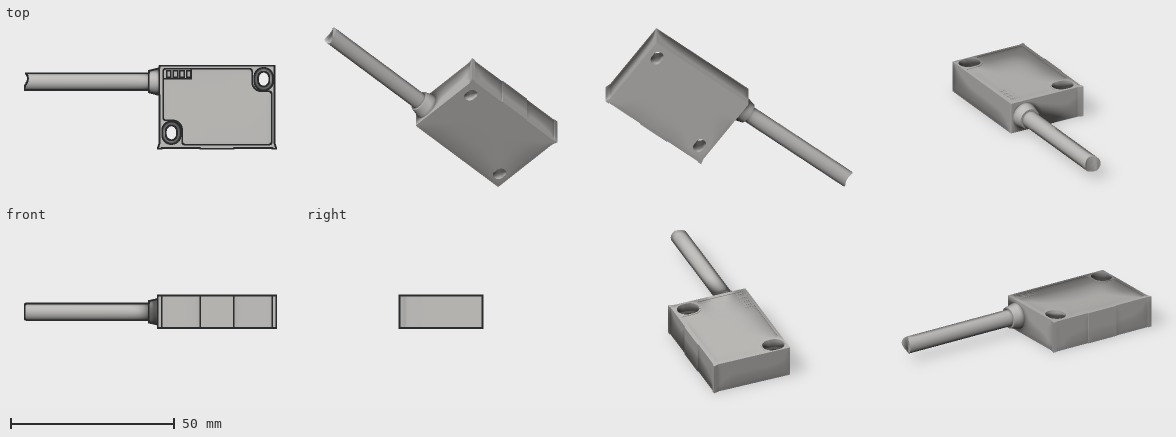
import cadquery as cq

total_length = 76.96
body_depth = 25.4
body_height = 10.0

body_width = 35.2
flare_width = 0.55
flare_depth = 1.8
back_corner_radius = 0.25

flange_width = body_width + 2 * flare_width
front_recess_depth = 0.25
corner_pad_width = 1.2
center_pad_width = 10.3

cable_diameter = 5.2
cable_from_back = 4.85
collar_length = 3.2
collar_base_diameter = 8.2
collar_tip_diameter = 6.6
cut_valley_depth = 1.0
cut_valley_y = 1.0
cut_slope_y = -0.7
cut_back_depth = 0.3
cut_clearance = 1.0
cable_y = body_depth - cable_from_back
cable_z = body_height / 2
cable_end_x = -(total_length - body_width - flare_width)
cable_radius = cable_diameter / 2

panel_depth = 0.2
panel_left = 1.15
panel_right = 34.3
panel_front = 1.3
panel_back = body_depth - 0.95
panel_corner_radius = 0.8
notch_corner_radius = 3.0
left_notch_x = 6.95
left_notch_y = 8.7
right_notch_x = 28.3
right_notch_y = body_depth - 7.85

strip_height = 0.1
strip_right = 9.75
strip_front = body_depth - 3.95
window_width = 1.25
window_length = 1.9
window_depth = strip_height
window_count = 4
window_pitch = 2.0
first_window_x = 2.9
window_y = body_depth - 2.5

slot_width = 3.3
counterbore_width = 5.7
slot_stretch = 1.2
counterbore_depth = 2.8
mounting_points = [(3.65, 4.9), (31.85, body_depth - 4.1)]


def make_body():
    """Block with flared front corners."""
    outline = (
        cq.Workplane("XY")
        .moveTo(-flare_width, 0)
        .lineTo(body_width + flare_width, 0)
        .lineTo(body_width, flare_depth)
        .lineTo(body_width, body_depth)
        .lineTo(0, body_depth)
        .lineTo(0, flare_depth)
        .close()
    )
    body = outline.extrude(body_height)
    return body.edges("|Z").edges(">Y").edges("<X").fillet(back_corner_radius)


def make_front_recesses():
    """Two shallow full-height recesses either side of the central front pad."""
    recess_width = (flange_width - center_pad_width) / 2 - corner_pad_width
    recess_offset = (center_pad_width + recess_width) / 2
    center_x = body_width / 2
    return (
        cq.Workplane("XY")
        .pushPoints([(center_x - recess_offset, 0), (center_x + recess_offset, 0)])
        .rect(recess_width, 2 * front_recess_depth)
        .extrude(body_height)
    )


def make_panel():
    """Label panel recess, notched around the two mounting slots."""
    points = [
        (panel_left, panel_back),
        (right_notch_x, panel_back),
        (right_notch_x, right_notch_y),
        (panel_right, right_notch_y),
        (panel_right, panel_front),
        (left_notch_x, panel_front),
        (left_notch_x, left_notch_y),
        (panel_left, left_notch_y),
    ]
    panel = (
        cq.Workplane("XY", origin=(0, 0, body_height - panel_depth))
        .polyline(points)
        .close()
        .extrude(panel_depth)
    )
    inner_corners = [(right_notch_x, right_notch_y), (left_notch_x, left_notch_y)]
    for x, y in points:
        radius = notch_corner_radius if (x, y) in inner_corners else panel_corner_radius
        corner = cq.selectors.NearestToPointSelector((x, y, body_height - panel_depth / 2))
        panel = panel.edges("|Z").edges(corner).fillet(radius)
    return panel


def make_indicator_strip(panel):
    """Raised strip in the back left corner of the panel, with its windows."""
    panel_floor = body_height - panel_depth
    strip = (
        cq.Workplane("XY", origin=(0, 0, panel_floor))
        .moveTo(panel_left, strip_front)
        .lineTo(strip_right, strip_front)
        .lineTo(strip_right, panel_back)
        .lineTo(panel_left, panel_back)
        .close()
        .extrude(strip_height)
        .intersect(panel)
    )
    window_points = [(first_window_x + i * window_pitch, window_y) for i in range(window_count)]
    windows = (
        cq.Workplane("XY", origin=(0, 0, panel_floor + strip_height - window_depth))
        .pushPoints(window_points)
        .rect(window_width, window_length)
        .extrude(window_depth)
    )
    return strip.cut(windows)


def make_slot(width, bottom_z):
    """Round-ended cutters at both mounting points, from bottom_z to the top face."""
    return (
        cq.Workplane("XY", origin=(0, 0, bottom_z))
        .pushPoints(mounting_points)
        .slot2D(width + slot_stretch, width, 90)
        .extrude(body_height - bottom_z)
    )


def make_collar():
    """Strain relief narrowing from the body side towards the cable."""
    return (
        cq.Workplane("YZ", origin=(0, cable_y, cable_z))
        .circle(collar_base_diameter / 2)
        .workplane(offset=-collar_length)
        .circle(collar_tip_diameter / 2)
        .loft()
    )


def make_cable():
    """Round cable whose free end is cut to a wavy line."""
    cable = (
        cq.Workplane("YZ", origin=(cable_end_x, cable_y, cable_z))
        .circle(cable_radius)
        .extrude(-cable_end_x)
    )
    wave = [
        (cut_back_depth, cable_radius),
        (cut_valley_depth, cut_valley_y),
        (cut_valley_depth / 2, cut_slope_y),
        (0, -cable_radius),
    ]
    start_direction = (1, -1)
    end_direction = (0, -1)
    end_cutter = (
        cq.Workplane("XY", origin=(cable_end_x, cable_y, 0))
        .spline(wave, tangents=[start_direction, end_direction])
        .lineTo(-cut_clearance, -cable_radius)
        .lineTo(-cut_clearance, cable_radius)
        .close()
        .extrude(body_height)
    )
    return cable.cut(end_cutter)


panel_recess = make_panel()
result = (
    make_body()
    .cut(make_front_recesses())
    .cut(panel_recess)
    .union(make_indicator_strip(panel_recess))
    .cut(make_slot(slot_width, 0))
    .cut(make_slot(counterbore_width, body_height - counterbore_depth))
    .union(make_collar())
    .union(make_cable())
)